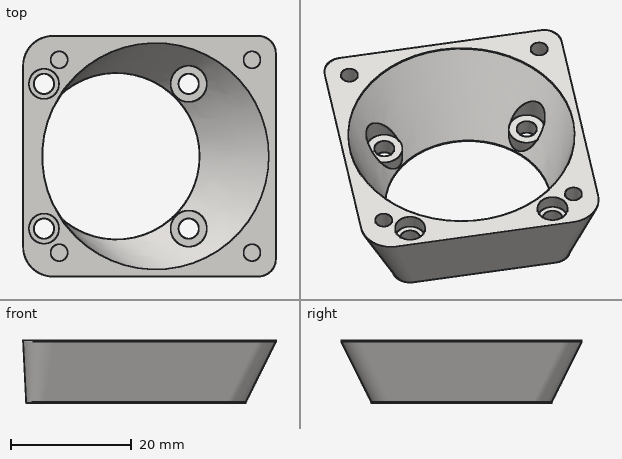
import cadquery as cq

HEIGHT = 10.45
LAND = 0.2
TOP_LENGTH = 42.0
TOP_WIDTH = 40.0
BOTTOM_WIDTH = 30.0
BOTTOM_LEFT = -20.5
BOTTOM_RIGHT = 16.0
LARGE_CORNER = 5.0
SMALL_CORNER = 3.0

TOP_CENTER_X = 1.0
BOTTOM_CENTER_X = -5.5
TOP_BORE = 37.6
BOTTOM_BORE = 27.6

PILOT_PITCH = 32.0
PILOT_DIAMETER = 2.8
PILOT_DEPTH = 4.0

SCREW_PITCH = 24.02
SCREW_DIAMETER = 3.3
LEFT_HEAD_DIAMETER = 5.0
LEFT_HEAD_DEPTH = 2.5
RIGHT_HEAD_DIAMETER = 6.0
RIGHT_SEAT_Z = 3.0


def outline(x_left, x_right, width, left_radius, right_radius, z):
    """Rectangle with separate corner radii at its -X and +X ends."""
    half = width / 2
    plate = cq.Workplane("XY").box(x_right - x_left, width, LAND, centered=False)
    plate = plate.translate((x_left, -half, z))
    plate = plate.edges("|Z and <X").fillet(left_radius)
    return plate.edges("|Z and >X").fillet(right_radius)


def cylinder(x, y, diameter, z_low, z_high):
    base = cq.Workplane("XY", origin=(x, y, z_low))
    return base.circle(diameter / 2).extrude(z_high - z_low)


def join_lands(bottom, top):
    """Bridge the facing sides of two lands with a ruled loft."""
    lower = bottom.faces(">Z").val().outerWire()
    upper = top.faces("<Z").val().outerWire()
    bridge = cq.Workplane(cq.Solid.makeLoft([lower, upper], True))
    return bridge.union(bottom).union(top)


def make_body():
    bottom = outline(BOTTOM_LEFT, BOTTOM_RIGHT, BOTTOM_WIDTH, SMALL_CORNER, SMALL_CORNER, 0)
    top = outline(-TOP_LENGTH / 2, TOP_LENGTH / 2, TOP_WIDTH,
                  LARGE_CORNER, SMALL_CORNER, HEIGHT - LAND)
    return join_lands(bottom, top)


def make_duct():
    bottom = cylinder(BOTTOM_CENTER_X, 0, BOTTOM_BORE, 0, LAND)
    top = cylinder(TOP_CENTER_X, 0, TOP_BORE, HEIGHT - LAND, HEIGHT)
    return join_lands(bottom, top)


result = make_body().cut(make_duct())

left_x = BOTTOM_CENTER_X - SCREW_PITCH / 2
right_x = BOTTOM_CENTER_X + SCREW_PITCH / 2
for y in (-SCREW_PITCH / 2, SCREW_PITCH / 2):
    result = result.cut(cylinder(left_x, y, LEFT_HEAD_DIAMETER, HEIGHT - LEFT_HEAD_DEPTH, HEIGHT))
    result = result.union(cylinder(right_x, y, RIGHT_HEAD_DIAMETER, 0, RIGHT_SEAT_Z))
    result = result.cut(cylinder(right_x, y, RIGHT_HEAD_DIAMETER, RIGHT_SEAT_Z, HEIGHT))
    for x in (left_x, right_x):
        result = result.cut(cylinder(x, y, SCREW_DIAMETER, 0, HEIGHT))

for x in (TOP_CENTER_X - PILOT_PITCH / 2, TOP_CENTER_X + PILOT_PITCH / 2):
    for y in (-PILOT_PITCH / 2, PILOT_PITCH / 2):
        result = result.cut(cylinder(x, y, PILOT_DIAMETER, HEIGHT - PILOT_DEPTH, HEIGHT))